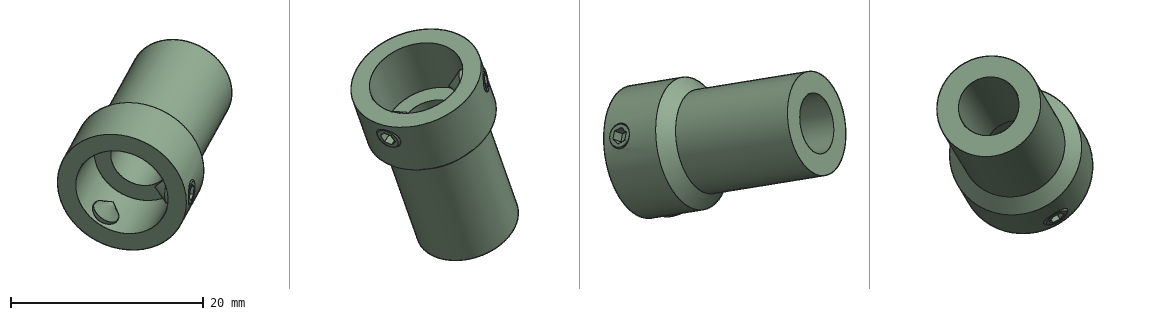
import cadquery as cq
import math

length = 22
collar_diameter = 14.0
tube_diameter = 11
collar_length = 6.51
taper_length = (collar_diameter - tube_diameter) / 2
socket_diameter = 10.0
socket_depth = 6.8
bore_diameter = 6.4

screw_placements = ((0, 0), (240, 0.07))
screw_distance = 2.0
screw_radius = 3.0 / 2
screw_tip_distance = 3.0
screw_outer_end = collar_diameter / 2
screw_end_radius = 1.23
key_width = 1.5
key_depth = 1.5
key_rotation = 16


def make_sleeve():
    collar_radius = collar_diameter / 2
    tube_radius = tube_diameter / 2
    socket_radius = socket_diameter / 2
    bore_radius = bore_diameter / 2
    return (
        cq.Workplane("XY")
        .moveTo(socket_radius, 0)
        .lineTo(collar_radius, 0)
        .lineTo(collar_radius, collar_length)
        .lineTo(tube_radius, collar_length + taper_length)
        .lineTo(tube_radius, length)
        .lineTo(bore_radius, length)
        .lineTo(bore_radius, socket_depth)
        .lineTo(socket_radius, socket_depth)
        .close()
        .revolve(360, (0, 0, 0), (0, 1, 0))
    )


def make_screw_body():
    """Solid screw on the X axis: 45 degree point, shank and chamfered outer end."""
    chamfer_length = screw_radius - screw_end_radius
    return (
        cq.Workplane("XY")
        .moveTo(screw_tip_distance, 0)
        .lineTo(screw_tip_distance + screw_radius, screw_radius)
        .lineTo(screw_outer_end - chamfer_length, screw_radius)
        .lineTo(screw_outer_end, screw_end_radius)
        .lineTo(screw_outer_end, 0)
        .close()
        .revolve(360, (0, 0, 0), (1, 0, 0))
    )


def make_key_socket():
    """Hexagonal recess that opens at the outer end of the screw."""
    corner_diameter = key_width / math.cos(math.radians(30))
    return (
        cq.Workplane("YZ", origin=(screw_outer_end - key_depth, 0, 0))
        .polygon(6, corner_diameter)
        .extrude(key_depth)
        .rotate((0, 0, 0), (1, 0, 0), key_rotation)
    )


def place_at_screw(body, angle, outward_shift):
    shifted = body.translate((outward_shift, screw_distance, 0))
    return shifted.rotate((0, 0, 0), (0, -1, 0), angle)


screw_body = make_screw_body()
key_socket = make_key_socket()

result = make_sleeve()
for angle, outward_shift in screw_placements:
    result = result.union(place_at_screw(screw_body, angle, outward_shift))
    result = result.cut(place_at_screw(key_socket, angle, outward_shift))